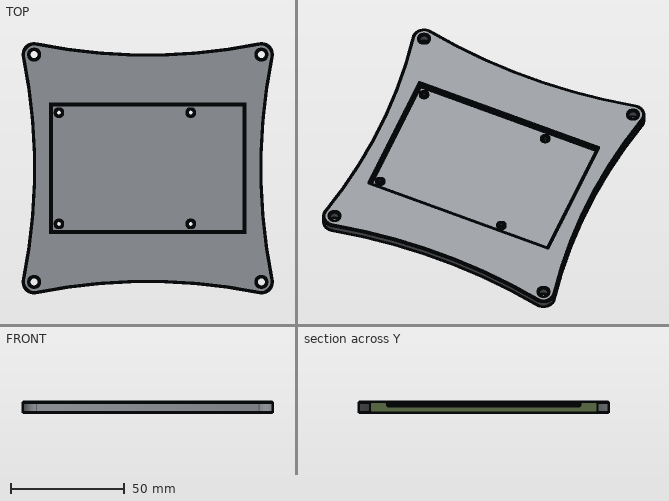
import cadquery as cq
import math

plate_size = 110.0
plate_thickness = 5.0
edge_chamfer = 0.5

mount_spacing = 100.0
mount_diameter = 4.2
half_mount = mount_spacing / 2
corner_radius = (plate_size - mount_spacing) / 2

recess_length = 86.0
recess_width = 57.0
recess_depth = 2.0
recess_floor = plate_thickness - recess_depth

board_spacing_x = 58.0
board_spacing_y = 49.0
board_hole_diameter = 2.7
board_hole_inset = 4.0
board_center_x = -recess_length / 2 + board_hole_inset + board_spacing_x / 2


def make_plate():
    """Plate with concave sides tangent to its corner rounds.

    The middle of each side dips to the line through the corner hole centres,
    so side_radius + corner_radius = hypot(half_mount, side_radius).
    """
    side_radius = (half_mount**2 - corner_radius**2) / (2 * corner_radius)
    tangent_angle = math.atan2(half_mount, side_radius)
    tangent_x = half_mount - corner_radius * math.sin(tangent_angle)
    tangent_y = half_mount + corner_radius * math.cos(tangent_angle)
    corner_tip = half_mount + corner_radius * math.sqrt(0.5)

    def turned(x, y, quarter_turns):
        for _ in range(quarter_turns):
            x, y = y, -x
        return x, y

    outline = cq.Workplane("XY").moveTo(-tangent_x, tangent_y)
    for side in range(4):
        outline = outline.threePointArc(turned(0, half_mount, side), turned(tangent_x, tangent_y, side))
        outline = outline.threePointArc(
            turned(corner_tip, corner_tip, side), turned(tangent_y, tangent_x, side)
        )
    plate = outline.close().extrude(plate_thickness)
    return plate.faces("<Z or >Z").edges().chamfer(edge_chamfer)


def make_recess():
    """Rectangular recess with a chamfered rim and a matching bevel around its floor."""
    wall_length = recess_length - 2 * edge_chamfer
    wall_width = recess_width - 2 * edge_chamfer
    pocket = (
        cq.Workplane("XY", origin=(0, 0, recess_floor))
        .rect(wall_length, wall_width)
        .extrude(recess_depth)
        .faces("<Z")
        .edges()
        .chamfer(edge_chamfer)
    )
    rim = (
        cq.Workplane("XY", origin=(0, 0, plate_thickness))
        .rect(recess_length, recess_width)
        .extrude(-edge_chamfer, taper=45)
    )
    return pocket.union(rim)


def make_holes(center_x, spacing_x, spacing_y, diameter, top):
    """Four through holes on a rectangle, each chamfered where it opens at height top."""
    bores = (
        cq.Workplane("XY", origin=(center_x, 0, 0))
        .rect(spacing_x, spacing_y, forConstruction=True)
        .vertices()
        .circle(diameter / 2)
        .extrude(top)
    )
    countersinks = (
        cq.Workplane("XY", origin=(center_x, 0, top))
        .rect(spacing_x, spacing_y, forConstruction=True)
        .vertices()
        .circle(diameter / 2 + edge_chamfer)
        .extrude(-edge_chamfer, taper=45)
    )
    return bores.union(countersinks)


mount_holes = make_holes(0, mount_spacing, mount_spacing, mount_diameter, plate_thickness)
board_holes = make_holes(
    board_center_x, board_spacing_x, board_spacing_y, board_hole_diameter, recess_floor
)
result = make_plate().cut(make_recess()).cut(mount_holes).cut(board_holes)